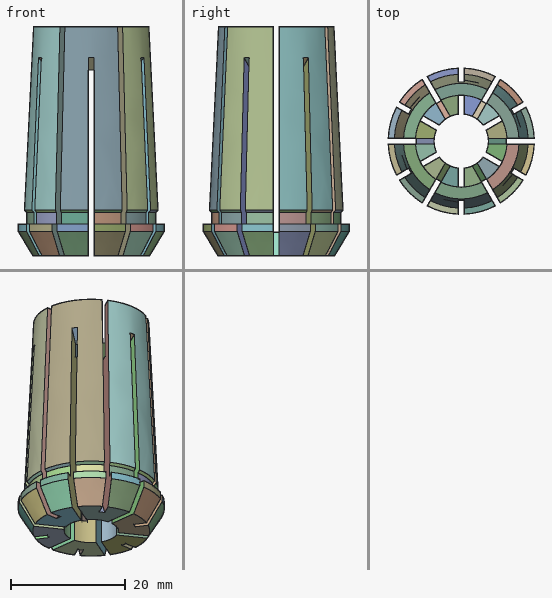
import cadquery as cq

height = 40.0
nose_radius = 10.2
flange_radius = 12.75
flange_bottom = 4.3
flange_top = 5.5
groove_radius = 11.3
groove_top = 7.5
shoulder_height = 7.95
shoulder_radius = 11.7
top_radius = 10.1

bore_radius = 4.7
counterbore_radius = 8.0
counterbore_floor = 30.1

slots_per_set = 6
slot_width = 1.0
slot_pitch = 360.0 / slots_per_set
upper_floor_at_bore = 4.1
upper_floor_end_radius = 7.9
lower_roof_at_counterbore = 32.4
lower_roof_at_skin = 34.55
overrun = 0.4

outer_slope = (shoulder_radius - top_radius) / (height - shoulder_height)
roof_skin_radius = top_radius + outer_slope * (height - lower_roof_at_skin)


def height_on_line(radius, start, end):
    """Height at a radius on the straight line through two (radius, height) points."""
    slope = (end[1] - start[1]) / (end[0] - start[0])
    return start[1] + slope * (radius - start[0])


def make_body():
    """Tapered sleeve with a groove, a flange and a conical nose, bored in two steps."""
    profile = [
        (bore_radius, 0),
        (nose_radius, 0),
        (flange_radius, flange_bottom),
        (flange_radius, flange_top),
        (groove_radius, flange_top),
        (groove_radius, groove_top),
        (shoulder_radius, shoulder_height),
        (top_radius, height),
        (counterbore_radius, height),
        (counterbore_radius, counterbore_floor),
        (bore_radius, counterbore_floor),
    ]
    return cq.Workplane("XZ").polyline(profile).close().revolve(360, (0, 0), (0, 1))


def make_slot(outline):
    """Radial slot along +X, from its (radius, height) outline."""
    return cq.Workplane("XZ").polyline(outline).close().extrude(slot_width / 2, both=True)


def make_upper_slot():
    """Slot open at the top, its floor falling outward to the bottom face."""
    floor_start = (bore_radius, upper_floor_at_bore)
    floor_end = (upper_floor_end_radius, 0)
    inner = bore_radius - overrun
    outer = flange_radius + overrun
    return make_slot([
        (inner, height_on_line(inner, floor_start, floor_end)),
        (outer, height_on_line(outer, floor_start, floor_end)),
        (outer, height + overrun),
        (inner, height + overrun),
    ])


def make_lower_slot():
    """Slot open at the bottom, its roof rising outward to the tapered skin."""
    roof_start = (counterbore_radius, lower_roof_at_counterbore)
    roof_end = (roof_skin_radius, lower_roof_at_skin)
    inner = bore_radius - overrun
    outer = flange_radius + overrun
    return make_slot([
        (inner, -overrun),
        (outer, -overrun),
        (outer, height_on_line(outer, roof_start, roof_end)),
        roof_start,
        (inner, lower_roof_at_counterbore),
    ])


result = make_body()
upper_slot = make_upper_slot()
lower_slot = make_lower_slot()
for index in range(slots_per_set):
    upper_angle = index * slot_pitch
    lower_angle = upper_angle + slot_pitch / 2
    result = result.cut(upper_slot.rotate((0, 0, 0), (0, 0, 1), upper_angle))
    result = result.cut(lower_slot.rotate((0, 0, 0), (0, 0, 1), lower_angle))